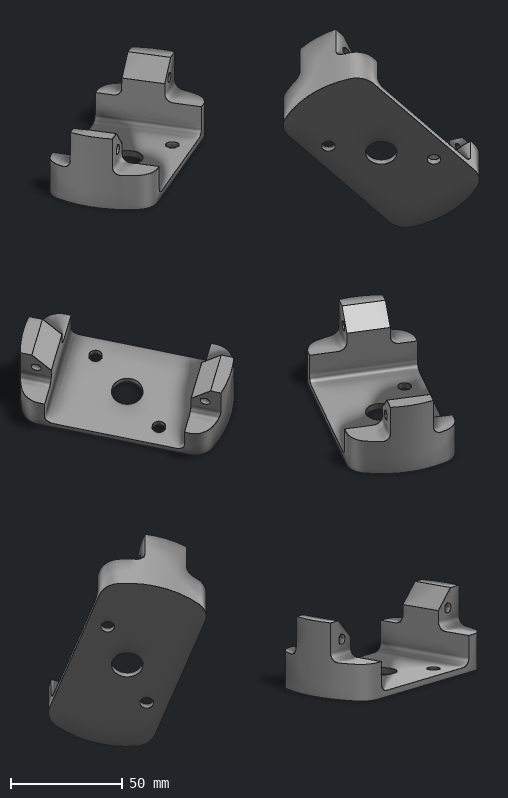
import cadquery as cq
import math

width = 50.0
end_radius = 48.0
corner_radius = 10.0

height = 35.0
floor_thickness = 3.0
shoulder_height = 17.0
front_wall_y = -32.5
back_wall_y = 32.0
fillet_radius = 4.0

lug_width = 20.2
lug_left = -12.5
lug_right = lug_left + lug_width
lug_chamfer = 9.0

pivot_diameter = 4.5
pivot_y = 39.0
pivot_z = 26.0
centre_hole_diameter = 14.0
mount_hole_diameter = 6.0
mount_circle_radius = 24.0
mount_angle = 50.0

half_width = width / 2


def footprint():
    """Prism bounded by two flat sides and two end arcs centred on the origin."""
    corner_x = half_width - corner_radius
    corner_y = math.sqrt((end_radius - corner_radius) ** 2 - corner_x**2)
    blend = end_radius / (end_radius - corner_radius)
    blend_x = corner_x * blend
    blend_y = corner_y * blend
    return (
        cq.Workplane("XY")
        .moveTo(half_width, -corner_y)
        .lineTo(half_width, corner_y)
        .tangentArcPoint((blend_x, blend_y), relative=False)
        .threePointArc((0, end_radius), (-blend_x, blend_y))
        .tangentArcPoint((-half_width, corner_y), relative=False)
        .lineTo(-half_width, -corner_y)
        .tangentArcPoint((-blend_x, -blend_y), relative=False)
        .threePointArc((0, -end_radius), (blend_x, -blend_y))
        .tangentArcPoint((half_width, -corner_y), relative=False)
        .close()
        .extrude(height)
    )


def side_profile():
    """U-shaped YZ profile with filleted floor and chamfered lug tops, across the width."""
    lug_edge_z = height - lug_chamfer
    wall_foot_z = floor_thickness + fillet_radius
    return (
        cq.Workplane("YZ")
        .moveTo(-end_radius, 0)
        .lineTo(end_radius, 0)
        .lineTo(end_radius, height)
        .lineTo(back_wall_y + lug_chamfer, height)
        .lineTo(back_wall_y, lug_edge_z)
        .lineTo(back_wall_y, wall_foot_z)
        .radiusArc((back_wall_y - fillet_radius, floor_thickness), fillet_radius)
        .lineTo(front_wall_y + fillet_radius, floor_thickness)
        .radiusArc((front_wall_y, wall_foot_z), fillet_radius)
        .lineTo(front_wall_y, lug_edge_z)
        .lineTo(front_wall_y - lug_chamfer, height)
        .lineTo(-end_radius, height)
        .close()
        .extrude(half_width, both=True)
    )


def front_profile():
    """XZ profile of the shoulders and the lug with its filleted foot, along the length."""
    lug_foot_z = shoulder_height + fillet_radius
    return (
        cq.Workplane("XZ")
        .moveTo(-half_width, 0)
        .lineTo(half_width, 0)
        .lineTo(half_width, shoulder_height)
        .lineTo(lug_right + fillet_radius, shoulder_height)
        .radiusArc((lug_right, lug_foot_z), fillet_radius)
        .lineTo(lug_right, height)
        .lineTo(lug_left, height)
        .lineTo(lug_left, lug_foot_z)
        .radiusArc((lug_left - fillet_radius, shoulder_height), fillet_radius)
        .lineTo(-half_width, shoulder_height)
        .close()
        .extrude(end_radius, both=True)
    )


def floor_holes():
    """Central hole and two mounting holes diagonally opposite on a circle."""
    centre = cq.Workplane("XY").circle(centre_hole_diameter / 2).extrude(floor_thickness)
    mounts = (
        cq.Workplane("XY")
        .polarArray(mount_circle_radius, mount_angle, 360, 2)
        .circle(mount_hole_diameter / 2)
        .extrude(floor_thickness)
    )
    return centre.union(mounts)


def pivot_holes():
    """Holes through both lugs, parallel to X."""
    return (
        cq.Workplane("YZ")
        .pushPoints([(-pivot_y, pivot_z), (pivot_y, pivot_z)])
        .circle(pivot_diameter / 2)
        .extrude(half_width, both=True)
    )


body = footprint().intersect(side_profile()).intersect(front_profile())
result = body.cut(floor_holes()).cut(pivot_holes())